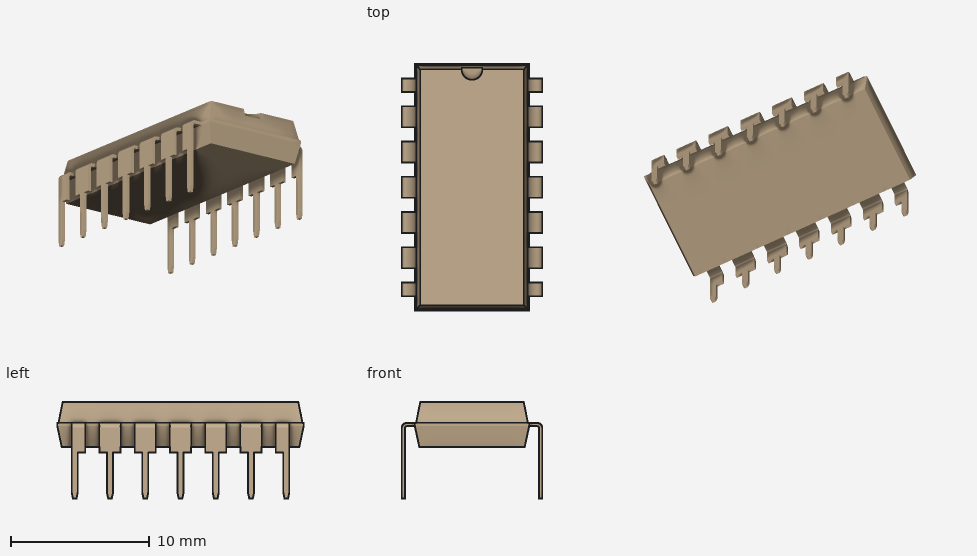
import cadquery as cq


LEAD_THICKNESS = 0.25

BODY_LENGTH = 17.78
BODY_WIDTH = 8.25
HALF_HEIGHT = 1.51
UPPER_LEDGE = 0.09
UPPER_TAPER = 0.3
LOWER_TAPER = 0.32

NOTCH_RADIUS = 0.75
NOTCH_DEPTH = 0.53

LEADS_PER_SIDE = 7
LEAD_PITCH = 2.55
LEAD_SPAN = 10.15
BEND_RADIUS = 0.4
SHOULDER_WIDTH = 1.53
SHOULDER_DROP = 2.15
PIN_WIDTH = 0.46
PIN_DROP = 5.48
TIP_WIDTH = 0.27
TIP_LENGTH = 0.46


def tapered_half(base_z, face_z, base_inset, taper):
    """Frustum from the parting band out to a smaller flat face."""
    face_inset = base_inset + taper
    return (
        cq.Workplane("XY", origin=(0, 0, base_z))
        .rect(BODY_WIDTH - 2 * base_inset, BODY_LENGTH - 2 * base_inset)
        .workplane(offset=face_z - base_z)
        .rect(BODY_WIDTH - 2 * face_inset, BODY_LENGTH - 2 * face_inset)
        .loft(ruled=True)
    )


def make_body():
    band = cq.Workplane("XY", origin=(0, 0, -LEAD_THICKNESS)).box(
        BODY_WIDTH, BODY_LENGTH, LEAD_THICKNESS, centered=(True, True, False)
    )
    upper = tapered_half(0, HALF_HEIGHT, UPPER_LEDGE, UPPER_TAPER)
    lower = tapered_half(-LEAD_THICKNESS, -LEAD_THICKNESS - HALF_HEIGHT, 0, LOWER_TAPER)
    top_edge_y = BODY_LENGTH / 2 - UPPER_LEDGE - UPPER_TAPER
    notch = (
        cq.Workplane("XY", origin=(0, top_edge_y, HALF_HEIGHT - NOTCH_DEPTH))
        .circle(NOTCH_RADIUS)
        .extrude(NOTCH_DEPTH)
    )
    return band.union(upper).union(lower).cut(notch)


def sheet_envelope(span, top_z, corner_radius):
    """Block along the body, as tall as the leads, with rounded upper long edges."""
    return (
        cq.Workplane("XZ", origin=(0, 0, top_z - PIN_DROP / 2))
        .rect(span, PIN_DROP)
        .extrude(BODY_LENGTH / 2, both=True)
        .edges("|Y and >Z")
        .fillet(corner_radius)
    )


def make_bent_sheet():
    """Sheet running through the parting band and bent down along both sides."""
    outer = sheet_envelope(LEAD_SPAN, 0, BEND_RADIUS)
    inner_span = LEAD_SPAN - 2 * LEAD_THICKNESS
    inner = sheet_envelope(inner_span, -LEAD_THICKNESS, BEND_RADIUS - LEAD_THICKNESS)
    return outer.cut(inner)


def lead_blank(y, shoulder_start, shoulder_end):
    """Side outline of one opposite pair of leads, reaching across the whole span."""
    half_pin = PIN_WIDTH / 2
    half_tip = TIP_WIDTH / 2
    taper_z = TIP_LENGTH - PIN_DROP
    shoulder = cq.Workplane("XY").box(LEAD_SPAN, shoulder_end - shoulder_start, SHOULDER_DROP)
    shoulder = shoulder.translate((0, y + (shoulder_start + shoulder_end) / 2, -SHOULDER_DROP / 2))
    pin = (
        cq.Workplane("YZ")
        .moveTo(y - half_pin, 0)
        .lineTo(y - half_pin, taper_z)
        .lineTo(y - half_tip, -PIN_DROP)
        .lineTo(y + half_tip, -PIN_DROP)
        .lineTo(y + half_pin, taper_z)
        .lineTo(y + half_pin, 0)
        .close()
        .extrude(LEAD_SPAN / 2, both=True)
    )
    return shoulder.union(pin)


result = make_body()
bent_sheet = make_bent_sheet()
last = LEADS_PER_SIDE - 1
for index in range(LEADS_PER_SIDE):
    lead_y = (index - last / 2) * LEAD_PITCH
    start = -PIN_WIDTH / 2 if index == 0 else -SHOULDER_WIDTH / 2
    end = PIN_WIDTH / 2 if index == last else SHOULDER_WIDTH / 2
    result = result.union(bent_sheet.intersect(lead_blank(lead_y, start, end)))